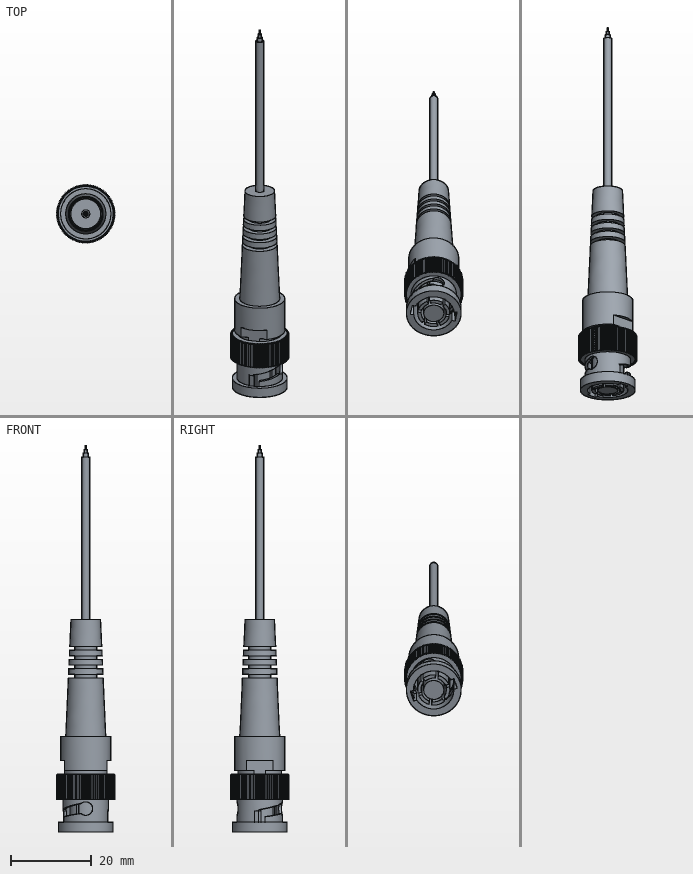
import cadquery as cq
import math

RIM_TOP = 2.5
BAYONET_LEVEL = 5.85
KNURL_BOTTOM = 8.2
KNURL_TOP = 14.5
COLLAR_BOTTOM = 15.3
FLAT_TOP = 17.7
COLLAR_TOP = 23.8
BOOT_TOP = 52.8
SHOULDER_LEVEL = 93.1
TIP_LEVEL = 95.9

KNURL_DIAMETER = 14.5
KNURL_DEPTH = 0.5
KNURL_CHAMFER = 0.3
TOOTH_COUNT = 120
RIM_DIAMETER = 13.6
SHELL_DIAMETER = 11.3
SHELL_BORE = 10.0
BAYONET_HOLE = 3.4
ENTRY_WIDTH = 2.6
ENTRY_TOP = 5.3
RAMP_START_BOTTOM = 3.6
RAMP_START_TOP = 5.6
RAMP_END_BOTTOM = 4.8
RAMP_END_TOP = 7.4

COLLAR_DIAMETER = 12.5
FLAT_SPACING = 10.6
NECK_DIAMETER = 10.9
SLEEVE_DIAMETER = 8.0
SLEEVE_BORE = 6.2
CORE_DIAMETER = 5.0
SLIT_COUNT = 6
SLIT_WIDTH = 0.7

BOOT_BASE_DIAMETER = 10.0
BOOT_TOP_DIAMETER = 7.4
GROOVE_DIAMETER = 5.6
GROOVE_COUNT = 4
GROOVE_WIDTH = 0.9
GROOVE_PITCH = 2.3
FIRST_GROOVE_BOTTOM = 38.3

PROBE_DIAMETER = 2.0
TIP_BASE_DIAMETER = 1.2
TIP_BASE_TOP = 94.0
TIP_COLLAR_DIAMETER = 0.9
TIP_COLLAR_TOP = 94.9
TIP_POINT_DIAMETER = 0.3


def cylinder(diameter, bottom, top):
    return cq.Workplane("XY").workplane(offset=bottom).circle(diameter / 2).extrude(top - bottom)


def cone(bottom_diameter, top_diameter, bottom, top):
    solid = cq.Solid.makeCone(
        bottom_diameter / 2, top_diameter / 2, top - bottom, pnt=cq.Vector(0, 0, bottom)
    )
    return cq.Workplane(obj=solid)


def box(x_range, y_range, z_range):
    size = [high - low for low, high in (x_range, y_range, z_range)]
    corner = (x_range[0], y_range[0], z_range[0])
    return cq.Workplane("XY").box(*size, centered=False).translate(corner)


def make_knurl():
    """Ring of pointed teeth, chamfered at the upper edge."""
    crest_radius = KNURL_DIAMETER / 2
    root_radius = crest_radius - KNURL_DEPTH
    half_pitch = math.pi / TOOTH_COUNT
    outline = []
    for step in range(2 * TOOTH_COUNT):
        radius = crest_radius if step % 2 == 0 else root_radius
        angle = step * half_pitch
        outline.append((radius * math.cos(angle), radius * math.sin(angle)))
    height = KNURL_TOP - KNURL_BOTTOM
    teeth = cq.Workplane("XY").workplane(offset=KNURL_BOTTOM).polyline(outline).close().extrude(height)
    envelope = cylinder(KNURL_DIAMETER, KNURL_BOTTOM, KNURL_TOP).faces(">Z").chamfer(KNURL_CHAMFER)
    return teeth.intersect(envelope)


def make_bayonet_slot():
    """Entry groove on the -X side, rising ramp, and latch hole on the -Y side."""
    shell_radius = SHELL_DIAMETER / 2
    entry = box((-shell_radius, 0), (-ENTRY_WIDTH / 2, ENTRY_WIDTH / 2), (0, ENTRY_TOP))
    latch = (
        cq.Workplane("XZ", origin=(0, 0, BAYONET_LEVEL)).circle(BAYONET_HOLE / 2).extrude(shell_radius)
    )
    reach = shell_radius * math.sin(math.pi / 4)
    diagonal = cq.Plane(origin=(0, 0, 0), xDir=(1, -1, 0), normal=(-1, -1, 0))
    ramp = (
        cq.Workplane(diagonal)
        .polyline(
            [
                (-reach, RAMP_START_BOTTOM),
                (reach, RAMP_END_BOTTOM),
                (reach, RAMP_END_TOP),
                (-reach, RAMP_START_TOP),
            ]
        )
        .close()
        .extrude(shell_radius)
    )
    return entry.union(ramp).union(latch)


def make_coupling():
    coupling = cylinder(RIM_DIAMETER, 0, RIM_TOP)
    coupling = coupling.union(cylinder(SHELL_DIAMETER, RIM_TOP, KNURL_BOTTOM))
    coupling = coupling.union(make_knurl())
    coupling = coupling.cut(cylinder(SHELL_BORE, 0, KNURL_BOTTOM))
    coupling = coupling.cut(cylinder(SLEEVE_DIAMETER, KNURL_BOTTOM, KNURL_TOP))
    slot = make_bayonet_slot()
    for angle in (0, 180):
        coupling = coupling.cut(slot.rotate((0, 0, 0), (0, 0, 1), angle))
    return coupling


def make_sleeve():
    """Contact sleeve around a solid core, divided into fingers by slits."""
    sleeve = cylinder(SLEEVE_DIAMETER, 0, KNURL_BOTTOM).cut(cylinder(SLEEVE_BORE, 0, KNURL_BOTTOM))
    slit = box((0, SLEEVE_DIAMETER / 2), (-SLIT_WIDTH / 2, SLIT_WIDTH / 2), (0, KNURL_BOTTOM))
    for index in range(SLIT_COUNT):
        angle = index * 360 / SLIT_COUNT
        sleeve = sleeve.cut(slit.rotate((0, 0, 0), (0, 0, 1), angle))
    return sleeve.union(cylinder(CORE_DIAMETER, 0, KNURL_BOTTOM))


def make_connector():
    connector = make_sleeve().union(cylinder(SLEEVE_DIAMETER, KNURL_BOTTOM, KNURL_TOP))
    connector = connector.union(cylinder(NECK_DIAMETER, KNURL_TOP, COLLAR_BOTTOM))
    connector = connector.union(cylinder(COLLAR_DIAMETER, COLLAR_BOTTOM, COLLAR_TOP))

    inner = FLAT_SPACING / 2
    outer = COLLAR_DIAMETER / 2
    for x_range in ((-outer, -inner), (inner, outer)):
        connector = connector.cut(box(x_range, (-outer, outer), (KNURL_TOP, FLAT_TOP)))
    return connector


def make_boot():
    boot = cone(BOOT_BASE_DIAMETER, BOOT_TOP_DIAMETER, COLLAR_TOP, BOOT_TOP)
    for index in range(GROOVE_COUNT):
        bottom = FIRST_GROOVE_BOTTOM + index * GROOVE_PITCH
        top = bottom + GROOVE_WIDTH
        groove = cylinder(BOOT_BASE_DIAMETER, bottom, top).cut(cylinder(GROOVE_DIAMETER, bottom, top))
        boot = boot.cut(groove)
    return boot.cut(cylinder(PROBE_DIAMETER, COLLAR_TOP, BOOT_TOP))


def make_probe():
    """Round rod that runs through the boot to the connector and ends in a stepped tip."""
    profile = [
        (0, COLLAR_TOP),
        (PROBE_DIAMETER / 2, COLLAR_TOP),
        (PROBE_DIAMETER / 2, SHOULDER_LEVEL),
        (TIP_BASE_DIAMETER / 2, SHOULDER_LEVEL),
        (TIP_BASE_DIAMETER / 2, TIP_BASE_TOP),
        (TIP_COLLAR_DIAMETER / 2, TIP_BASE_TOP),
        (TIP_COLLAR_DIAMETER / 2, TIP_COLLAR_TOP),
        (TIP_POINT_DIAMETER / 2, TIP_COLLAR_TOP),
        (TIP_POINT_DIAMETER / 2, TIP_LEVEL),
        (0, TIP_LEVEL),
    ]
    return cq.Workplane("XZ").polyline(profile).close().revolve(360, (0, 0), (0, 1))


coupling = make_coupling()
connector = make_connector()
boot = make_boot()
probe = make_probe()

result = cq.Compound.makeCompound([coupling.val(), connector.val(), boot.val(), probe.val()])